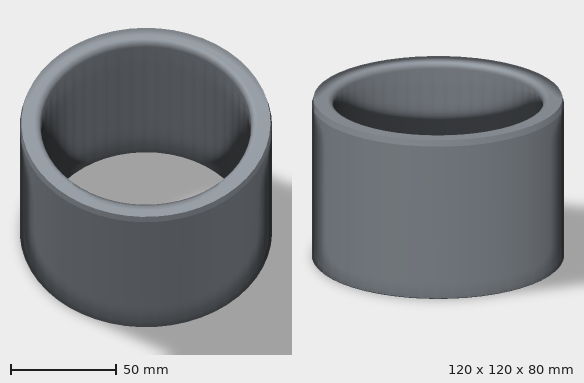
import cadquery as cq
import math

outer_radius = 120.0 / 2
bore_radius = 100.0 / 2
height = 80.0

taper_height = 3.0
taper_angle = 15.0
taper_inset = taper_height * math.tan(math.radians(taper_angle))

bore_rounding = 3.0
bottom_chamfer = 0.5

rounding_centre_x = bore_radius + bore_rounding
rounding_centre_z = height - bore_rounding
rounding_offset = bore_rounding * math.sqrt(0.5)
rounding_middle = (rounding_centre_x - rounding_offset, rounding_centre_z + rounding_offset)

wall_section = (
    cq.Workplane("XZ")
    .moveTo(bore_radius, 0)
    .lineTo(outer_radius - bottom_chamfer, 0)
    .lineTo(outer_radius, bottom_chamfer)
    .lineTo(outer_radius, height - taper_height)
    .lineTo(outer_radius - taper_inset, height)
    .lineTo(rounding_centre_x, height)
    .threePointArc(rounding_middle, (bore_radius, rounding_centre_z))
    .close()
)

result = wall_section.revolve(360, (0, 0, 0), (0, 1, 0))